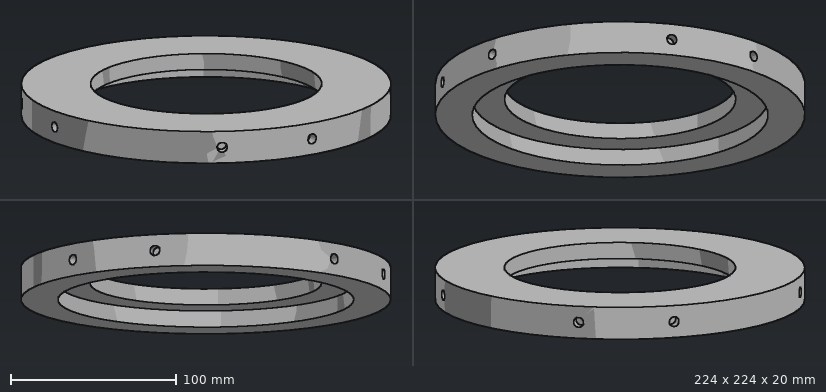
import cadquery as cq
import math

outer_diameter = 224.0
bore_diameter = 140.0
recess_diameter = 179.2
thickness = 20.0
recess_depth = thickness / 2

hole_diameter = 6.0
hole_depth = 7.0
pair_centre_angles = (45, 135, 225, 315)
pair_half_angle = 15

outer_radius = outer_diameter / 2


def radial_hole(angle):
    """Cylinder that enters the rim at the given angle, at mid thickness."""
    inward = cq.Vector(-math.cos(math.radians(angle)), -math.sin(math.radians(angle)), 0)
    rim_point = inward * -outer_radius
    overshoot = hole_diameter / 2
    start = rim_point - inward * overshoot
    return cq.Solid.makeCylinder(hole_diameter / 2, hole_depth + overshoot, start, inward)


result = (
    cq.Workplane("XY")
    .circle(outer_radius)
    .circle(bore_diameter / 2)
    .extrude(thickness / 2, both=True)
)

recess = (
    cq.Workplane("XY", origin=(0, 0, -thickness / 2))
    .circle(recess_diameter / 2)
    .extrude(recess_depth)
)
result = result.cut(recess)

for pair_centre in pair_centre_angles:
    for offset in (-pair_half_angle, pair_half_angle):
        result = result.cut(cq.Workplane(obj=radial_hole(pair_centre + offset)))